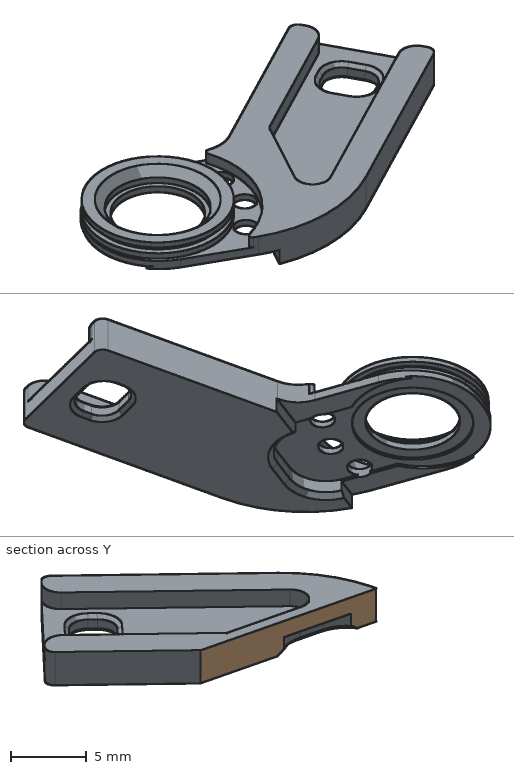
import cadquery as cq
import math


ARM_TOP = 2.55
POCKET_FLOOR = 1.28
LUG_BOTTOM = 1.1
LUG_TOP = 1.75
RECESS_TOP = 1.28
GROOVE_BOTTOM = 2.18
GROOVE_TOP = 2.65
RING_TOP = 3.05

RING_DIAMETER = 10.05
GROOVE_DIAMETER = 9.13
MOUTH_DIAMETER = 8.3
SEAT_DIAMETER = 7.0
BORE_DIAMETER = 6.24
SEAT_FLOOR = 1.95
RECESS_DIAMETER = RING_DIAMETER
RECESS_CENTER_Y = -0.74
UNDERSIDE_COUNTERBORE_DIAMETER = 8.0
UNDERSIDE_COUNTERBORE_TOP = 1.46

LUG_WIDTH = 10.63
LUG_END_Y = -RING_DIAMETER / 2
LUG_CORNER_RADIUS = 5.04
CLEARANCE_RADIUS = 6.9
TIP_RADIUS = 0.25

SMALL_HOLE_DIAMETER = 1.65
SMALL_HOLE_CIRCLE_RADIUS = 5.97
SMALL_HOLE_ANGLE = 29.1

ARM_ANGLE = 33.5
ARM_LENGTH = 22.94
ARM_INNER_OFFSET = 2.1
ARM_OUTER_OFFSET = 12.12
ARM_CORNER_RADIUS = 0.65
INNER_BEND_RADIUS = 2.6
OUTER_BEND_RADIUS = 10.5
ARM_UNDERSIDE_END_Y = 6.85

POCKET_INNER_OFFSET = 4.32
POCKET_OUTER_OFFSET = 9.9
POCKET_END_Y = 9.6
POCKET_RADIUS = 1.25

WINDOW_DISTANCE = 19.61
WINDOW_LENGTH = 3.2
WINDOW_WIDTH = 3.8
WINDOW_RADIUS = 1.3
WINDOW_CHAMFER = 0.3

NOTCH_WIDTH = 7.2
NOTCH_END_Y = 9.4
NOTCH_RADIUS = 2.65
NOTCH_CHAMFER = 0.37

CHAMFER_ANGLE = 45

OVERSHOOT = 1.0
PICK_HALF_SIZE = 0.2

COS_ARM = math.cos(math.radians(ARM_ANGLE))
SIN_ARM = math.sin(math.radians(ARM_ANGLE))


def arm_point(distance, offset):
    """XY point at a distance along the arm and an offset across it."""
    return (offset * SIN_ARM - distance * COS_ARM, offset * COS_ARM + distance * SIN_ARM)


def arm_point_at_x(x, offset):
    """XY point at a given X on the line parallel to the arm at an offset."""
    return (x, (offset - x * SIN_ARM) / COS_ARM)


def arm_point_at_y(y, offset):
    """XY point at a given Y on the line parallel to the arm at an offset."""
    return ((offset - y * COS_ARM) / SIN_ARM, y)


def prism(points, bottom, top):
    """Upright polygonal solid between two heights."""
    return cq.Workplane("XY").workplane(offset=bottom).polyline(points).close().extrude(top - bottom)


def disc(diameter, bottom, top):
    """Solid cylinder on the ring axis between two heights."""
    return cq.Workplane("XY").workplane(offset=bottom).circle(diameter / 2).extrude(top - bottom)


def round_upright_edge(body, point, radius):
    """Fillet the vertical edges standing at an XY point."""
    x, y = point
    low = (x - PICK_HALF_SIZE, y - PICK_HALF_SIZE, -RING_TOP)
    high = (x + PICK_HALF_SIZE, y + PICK_HALF_SIZE, 2 * RING_TOP)
    return body.edges("|Z").edges(cq.selectors.BoxSelector(low, high)).fillet(radius)


def make_body():
    """Bent outline of arm and lug at full arm height."""
    half_width = LUG_WIDTH / 2
    rounded_corners = [
        (arm_point(ARM_LENGTH, ARM_INNER_OFFSET), ARM_CORNER_RADIUS),
        (arm_point_at_x(-half_width, ARM_INNER_OFFSET), INNER_BEND_RADIUS),
        ((-half_width, LUG_END_Y), LUG_CORNER_RADIUS),
        ((half_width, LUG_END_Y), LUG_CORNER_RADIUS),
        (arm_point_at_x(half_width, ARM_OUTER_OFFSET), OUTER_BEND_RADIUS),
        (arm_point(ARM_LENGTH, ARM_OUTER_OFFSET), ARM_CORNER_RADIUS),
    ]
    body = prism([point for point, _ in rounded_corners], 0, ARM_TOP)
    for point, radius in rounded_corners:
        body = round_upright_edge(body, point, radius)
    return body


def make_clearance():
    """Space above the lug plate: an arc around the ring that ends in two rounded arm tips."""
    top = ARM_TOP + OVERSHOOT
    tip_x = LUG_WIDTH / 2 - TIP_RADIUS
    tip_y = math.sqrt((CLEARANCE_RADIUS + TIP_RADIUS) ** 2 - tip_x**2)
    clearance = disc(2 * CLEARANCE_RADIUS, LUG_TOP, top)
    for side in (-1, 1):
        outer_x = side * LUG_WIDTH
        points = [(0, 0), (side * tip_x, tip_y), (outer_x, tip_y), (outer_x, LUG_END_Y), (0, LUG_END_Y)]
        tip = disc(2 * TIP_RADIUS, LUG_TOP, top).translate((side * tip_x, tip_y, 0))
        clearance = clearance.union(prism(points, LUG_TOP, top)).cut(tip)
    return clearance


def thin_lug(body):
    """Leave only the thin lug plate around the ring, with rounded arm tips beside it."""
    block_length = ARM_UNDERSIDE_END_Y - LUG_END_Y
    block = cq.Workplane("XY").box(2 * LUG_WIDTH, block_length, LUG_BOTTOM, centered=(True, False, False))
    body = body.cut(block.translate((0, LUG_END_Y, 0)))
    return body.cut(make_clearance())


def cut_pocket(body):
    """Pocket open at the arm end, with rounded rail tips and one rounded inner corner."""
    open_end = ARM_LENGTH + OVERSHOOT
    inner_corner = arm_point_at_y(POCKET_END_Y, POCKET_OUTER_OFFSET)
    points = [
        arm_point(open_end, POCKET_INNER_OFFSET),
        arm_point_at_y(POCKET_END_Y, POCKET_INNER_OFFSET),
        inner_corner,
        arm_point(open_end, POCKET_OUTER_OFFSET),
    ]
    pocket = prism(points, POCKET_FLOOR, ARM_TOP + OVERSHOOT)
    body = body.cut(round_upright_edge(pocket, inner_corner, POCKET_RADIUS))
    for offset in (POCKET_INNER_OFFSET, POCKET_OUTER_OFFSET):
        body = round_upright_edge(body, arm_point(ARM_LENGTH, offset), POCKET_RADIUS)
    return body


def window_outline(height):
    """Sketch of the window placed at a height."""
    outline = cq.Sketch().rect(WINDOW_LENGTH, WINDOW_WIDTH).vertices().fillet(WINDOW_RADIUS)
    return cq.Workplane("XY").workplane(offset=height).placeSketch(outline)


def cut_window(body):
    """Rounded rectangular through hole, chamfered at both ends."""
    window = window_outline(0).extrude(POCKET_FLOOR)
    top_flare = window_outline(POCKET_FLOOR - WINDOW_CHAMFER).extrude(WINDOW_CHAMFER, taper=-CHAMFER_ANGLE)
    bottom_flare = window_outline(WINDOW_CHAMFER).extrude(-WINDOW_CHAMFER, taper=-CHAMFER_ANGLE)
    center = arm_point(WINDOW_DISTANCE, (POCKET_INNER_OFFSET + POCKET_OUTER_OFFSET) / 2)
    for cutter in (window, top_flare, bottom_flare):
        cutter = cutter.rotate((0, 0, 0), (0, 0, 1), -ARM_ANGLE)
        body = body.cut(cutter.translate((*center, 0)))
    return body


def cut_underside(body):
    """Shallow round recess under the lug, joined to a chamfered notch under the arm."""
    notch = cq.Workplane("XY").box(NOTCH_WIDTH, NOTCH_END_Y, RECESS_TOP, centered=(True, False, False))
    notch = notch.edges("|Z and >Y").fillet(NOTCH_RADIUS)
    flare = notch.faces("<Z").wires().toPending().offset2D(NOTCH_CHAMFER)
    flare = flare.extrude(NOTCH_CHAMFER, taper=CHAMFER_ANGLE, combine=False)
    recess = disc(RECESS_DIAMETER, 0, RECESS_TOP).translate((0, RECESS_CENTER_Y, 0))
    return body.cut(notch).cut(flare).cut(recess)


def cut_small_holes(body):
    """Three small through holes on an arc around the ring."""
    for angle in (-SMALL_HOLE_ANGLE, 0, SMALL_HOLE_ANGLE):
        hole = disc(SMALL_HOLE_DIAMETER, 0, LUG_TOP).translate((0, SMALL_HOLE_CIRCLE_RADIUS, 0))
        body = body.cut(hole.rotate((0, 0, 0), (0, 0, 1), angle))
    return body


def add_ring(body):
    """Grooved ring with a conical mouth, a seat, a through bore and an underside counterbore."""
    ring = disc(RING_DIAMETER, RECESS_TOP, GROOVE_BOTTOM)
    ring = ring.union(disc(GROOVE_DIAMETER, GROOVE_BOTTOM, GROOVE_TOP))
    ring = ring.union(disc(RING_DIAMETER, GROOVE_TOP, RING_TOP))
    mouth = cq.Workplane("XY").workplane(offset=RING_TOP).circle(MOUTH_DIAMETER / 2)
    mouth = mouth.extrude(-(MOUTH_DIAMETER - SEAT_DIAMETER) / 2, taper=CHAMFER_ANGLE)
    body = body.union(ring).cut(mouth)
    body = body.cut(disc(SEAT_DIAMETER, SEAT_FLOOR, RING_TOP))
    body = body.cut(disc(UNDERSIDE_COUNTERBORE_DIAMETER, 0, UNDERSIDE_COUNTERBORE_TOP))
    return body.cut(disc(BORE_DIAMETER, 0, RING_TOP))


result = make_body()
result = thin_lug(result)
result = cut_pocket(result)
result = cut_window(result)
result = cut_underside(result)
result = cut_small_holes(result)
result = add_ring(result).solids()